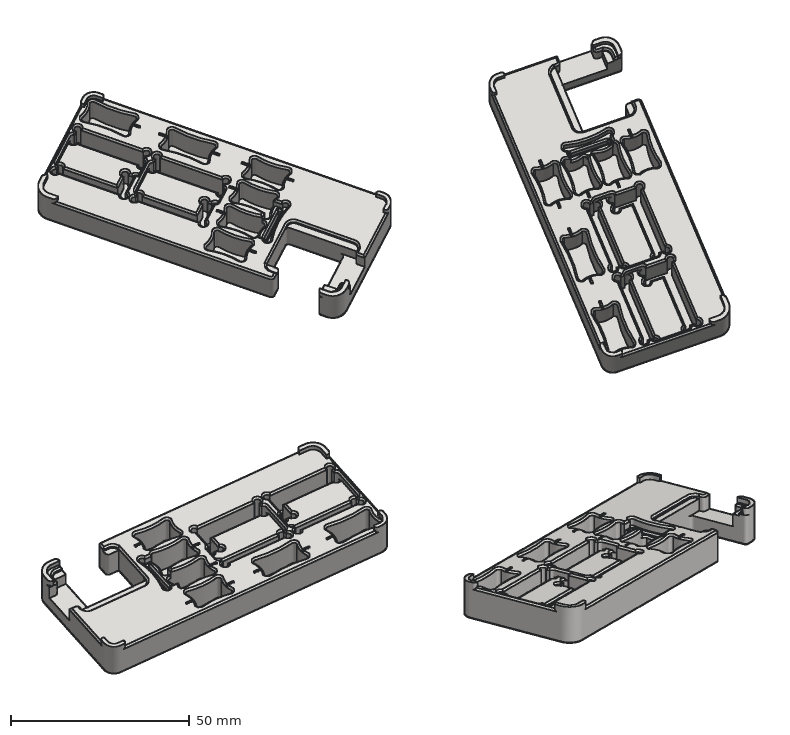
import cadquery as cq
import math

LENGTH = 93.8
WIDTH = 38.6
HEIGHT = 11.2
DECK_Z = 9.7
EDGE_BREAK = 0.6
BOTTOM_BREAK = 0.4
FLOOR_Z = 1.1
SOUTH_RADIUS = 4.2
NORTH_RADIUS = 3.4
CLEARANCE = 0.9

SOUTH_LIP_LEG = 6.9
SOUTH_LIP_THICKNESS = 1.4
SOUTH_LIP_END_RADIUS = 1.1
NORTH_LIP_LEG = 5.3
NORTH_LIP_THICKNESS = 1.2
NORTH_LIP_END_RADIUS = 0.75

OPENING_LEFT = 69.3
OPENING_RIGHT = LENGTH - SOUTH_LIP_LEG
OPENING_BACK = 18.8
OPENING_CORNER_RADIUS = 0.9
MOUTH_LEFT = 73.2
MOUTH_BACK = 4.7
MOUTH_CORNER_RADIUS = 1.0
ARM_Z = 4.8
ARM_GAP_BACK = 17.2
ARM_CORNER_RADIUS = 0.8
LEDGE_Z = 8.5
LEDGE_RIGHT = 90.9
LEDGE_FRONT = 2.7
LEDGE_BACK = 20.8
LEDGE_CORNER_RADIUS = 2.1

POCKET_PITCH_X = 24.2
POCKET_HALF_Y = 3.7
POCKET_CORNER_RADIUS = 0.9
POCKET_WAIST = 0.6
WIDE_HALF_X = 7.1
WIDE_X = 9.1
BACK_ROW_Y = 32.79
COLUMN_HALF_X = 5.8
COLUMN_X = 57.2
COLUMN_PITCH_Y = 8.9
COLUMN_COUNT = 4

MARK_REACH = 2.1
MARK_WIDTH = 0.6
MARK_DEPTH = 0.4
MARK_OFFSET_Y = 0.6

SHELF_Z = 7.5
RELIEF_RADIUS = 0.9
MODULE_LEFT = 2.3
MODULE_RIGHT = 23.4
MODULE_FRONT = 10.1
MODULE_BACK = 26.1
SLOT_DEPTH_Y = 3.2
LEG_LEFT = 20.1
LEG_BACK = 18.5
MODULE_COUNT = 2

CHANNEL_Z = 7.1
CHANNEL_LEFT = 61.9
CHANNEL_RIGHT = 67.2
CHANNEL_WAIST = 0.8
CHANNEL_FRONT = 12.1
CHANNEL_BACK = 25.0
CHANNEL_RELIEF_RADIUS = 0.89
THROUGH_LEFT = 64.45
THROUGH_RIGHT = 65.3
THROUGH_FRONT = 12.9
THROUGH_BACK = 24.0


def level(z):
    return cq.Workplane("XY").workplane(offset=z)


def prism(outline, bottom, top, flare=0.0):
    """Extrude an outline; a flare widens its top by a 45 degree chamfer."""
    solid = outline(level(bottom)).extrude(top - bottom)
    if flare:
        solid = solid.union(outline(level(top - flare)).extrude(flare, taper=-45))
    return solid


def rectangle(left, front, right, back):
    def outline(plane):
        return plane.center((left + right) / 2, (front + back) / 2).rect(right - left, back - front)

    return outline


def disc(x, y, radius):
    return lambda plane: plane.center(x, y).circle(radius)


def wavy(x, y, half_x, half_y):
    """Rectangle with round corners and sides bowed inward."""
    r = POCKET_CORNER_RADIUS
    cx = half_x - r
    cy = half_y - r
    diagonal = r * math.sqrt(0.5)

    def outline(plane):
        return (
            plane.center(x, y)
            .moveTo(-cx, half_y)
            .threePointArc((0, half_y - POCKET_WAIST), (cx, half_y))
            .threePointArc((cx + diagonal, cy + diagonal), (half_x, cy))
            .threePointArc((half_x - POCKET_WAIST, 0), (half_x, -cy))
            .threePointArc((cx + diagonal, -cy - diagonal), (cx, -half_y))
            .threePointArc((0, -half_y + POCKET_WAIST), (-cx, -half_y))
            .threePointArc((-cx - diagonal, -cy - diagonal), (-half_x, -cy))
            .threePointArc((-half_x + POCKET_WAIST, 0), (-half_x, cy))
            .threePointArc((-cx - diagonal, cy + diagonal), (-cx, half_y))
            .close()
        )

    return outline


def joined(outlines, bottom, top, flare=0.0):
    solid = prism(outlines[0], bottom, top, flare)
    for outline in outlines[1:]:
        solid = solid.union(prism(outline, bottom, top, flare))
    return solid


def base_block():
    block = level(0).rect(LENGTH, WIDTH, centered=False).extrude(DECK_Z)
    block = block.edges("|Z and <Y").fillet(SOUTH_RADIUS)
    return block.edges("|Z and >Y").fillet(NORTH_RADIUS)


def opening():
    window = prism(rectangle(OPENING_LEFT, MOUTH_BACK, OPENING_RIGHT, OPENING_BACK), 0, DECK_Z)
    window = window.edges("|Z and >Y").fillet(OPENING_CORNER_RADIUS)
    mouth = prism(rectangle(MOUTH_LEFT, -CLEARANCE, OPENING_RIGHT, MOUTH_BACK), 0, DECK_Z)
    return window.union(mouth)


def arm_relief():
    middle = (OPENING_LEFT + OPENING_RIGHT) / 2
    inner = prism(rectangle(middle, MOUTH_BACK, LEDGE_RIGHT, OPENING_BACK), ARM_Z, DECK_Z)
    gap = rectangle(LEDGE_RIGHT, SOUTH_LIP_LEG, LENGTH + CLEARANCE, ARM_GAP_BACK)
    relief = inner.union(prism(gap, ARM_Z, DECK_Z))
    neck = cq.selectors.BoxSelector(
        (LEDGE_RIGHT - 0.1, SOUTH_LIP_LEG - 0.1, ARM_Z),
        (LEDGE_RIGHT + 0.1, ARM_GAP_BACK + 0.1, DECK_Z),
    )
    return relief.edges("|Z").edges(neck).fillet(ARM_CORNER_RADIUS)


def corner_lip(leg, thickness, outer_radius, end_radius):
    """L-shaped lip whose outer corner stands at the origin."""
    inner_radius = outer_radius - thickness
    return (
        level(DECK_Z - EDGE_BREAK)
        .moveTo(outer_radius, 0)
        .lineTo(leg - end_radius, 0)
        .radiusArc((leg, end_radius), -end_radius)
        .lineTo(leg, thickness)
        .lineTo(outer_radius, thickness)
        .radiusArc((thickness, outer_radius), inner_radius)
        .lineTo(thickness, leg)
        .lineTo(end_radius, leg)
        .radiusArc((0, leg - end_radius), -end_radius)
        .lineTo(0, outer_radius)
        .radiusArc((outer_radius, 0), -outer_radius)
        .close()
        .extrude(HEIGHT - DECK_Z + EDGE_BREAK)
    )


def corner_lips():
    south_west = corner_lip(SOUTH_LIP_LEG, SOUTH_LIP_THICKNESS, SOUTH_RADIUS, SOUTH_LIP_END_RADIUS)
    north = corner_lip(NORTH_LIP_LEG, NORTH_LIP_THICKNESS, NORTH_RADIUS, NORTH_LIP_END_RADIUS)
    north_west = north.mirror("XZ").translate((0, WIDTH, 0))
    west = south_west.union(north_west)
    return west.union(west.mirror("YZ").translate((LENGTH, 0, 0)))


def ledge_recess():
    def outline(plane):
        sketch = (
            cq.Sketch()
            .rect(LEDGE_RIGHT - OPENING_LEFT, LEDGE_BACK - LEDGE_FRONT)
            .vertices()
            .fillet(LEDGE_CORNER_RADIUS)
        )
        x = (OPENING_LEFT + LEDGE_RIGHT) / 2
        return plane.center(x, (LEDGE_FRONT + LEDGE_BACK) / 2).placeSketch(sketch)

    return prism(outline, LEDGE_Z, DECK_Z, EDGE_BREAK)


def module_pocket():
    slot_front = MODULE_BACK - SLOT_DEPTH_Y
    leg_front = MODULE_FRONT + SLOT_DEPTH_Y
    relief_centers = [
        (MODULE_LEFT, MODULE_BACK),
        (MODULE_RIGHT, MODULE_BACK),
        (MODULE_LEFT, slot_front),
        (MODULE_RIGHT, slot_front),
        (MODULE_LEFT, MODULE_FRONT),
        (MODULE_RIGHT, MODULE_FRONT),
        (MODULE_LEFT, leg_front),
        (LEG_LEFT, LEG_BACK),
        (MODULE_RIGHT, LEG_BACK),
    ]
    deep = [
        rectangle(MODULE_LEFT, slot_front, MODULE_RIGHT, MODULE_BACK),
        rectangle(MODULE_LEFT, MODULE_FRONT, MODULE_RIGHT, leg_front),
        rectangle(LEG_LEFT, MODULE_FRONT, MODULE_RIGHT, LEG_BACK),
    ]
    deep += [disc(x, y, RELIEF_RADIUS) for x, y in relief_centers]
    shelf_left = MODULE_LEFT - RELIEF_RADIUS
    shelf_right = MODULE_RIGHT + RELIEF_RADIUS
    shelf = [
        rectangle(shelf_left, leg_front, LEG_LEFT, slot_front),
        rectangle(shelf_left, LEG_BACK, shelf_right, slot_front),
    ]
    upper = joined(deep + shelf, SHELF_Z, DECK_Z, EDGE_BREAK)
    walls = joined(deep + shelf, FLOOR_Z, SHELF_Z)
    lower = joined(deep, FLOOR_Z, SHELF_Z, EDGE_BREAK).intersect(walls)
    return upper.union(lower)


def channel_outlines():
    relief_x = CHANNEL_RIGHT - CHANNEL_RELIEF_RADIUS
    middle_y = (CHANNEL_FRONT + CHANNEL_BACK) / 2

    def bowed(plane):
        return (
            plane.moveTo(CHANNEL_LEFT, CHANNEL_FRONT)
            .lineTo(CHANNEL_RIGHT, CHANNEL_FRONT)
            .threePointArc((CHANNEL_RIGHT - CHANNEL_WAIST, middle_y), (CHANNEL_RIGHT, CHANNEL_BACK))
            .lineTo(CHANNEL_LEFT, CHANNEL_BACK)
            .close()
        )

    reliefs = [disc(relief_x, y, CHANNEL_RELIEF_RADIUS) for y in (CHANNEL_FRONT, CHANNEL_BACK)]
    return [bowed] + reliefs


def mark(x, y, half_x, side):
    """Shallow groove from a pocket's side outward; side is -1 for left, 1 for right."""
    start = x + side * (half_x - POCKET_WAIST)
    end = x + side * (half_x + MARK_REACH)
    front = y + MARK_OFFSET_Y - MARK_WIDTH / 2
    groove = rectangle(min(start, end), front, max(start, end), front + MARK_WIDTH)
    return prism(groove, DECK_Z - MARK_DEPTH, DECK_Z)


tray = base_block().cut(opening())
for mouth_x, mouth_y in ((MOUTH_LEFT, 0), (MOUTH_LEFT, MOUTH_BACK), (OPENING_RIGHT, 0)):
    corner = cq.selectors.BoxSelector(
        (mouth_x - 0.1, mouth_y - 0.1, 0), (mouth_x + 0.1, mouth_y + 0.1, DECK_Z)
    )
    tray = tray.edges("|Z").edges(corner).fillet(MOUTH_CORNER_RADIUS)
tray = tray.cut(arm_relief())
tray = tray.faces("<Z").chamfer(BOTTOM_BREAK)
tray = tray.faces(">Z").chamfer(EDGE_BREAK)

tray = tray.cut(ledge_recess())
tray = tray.union(corner_lips())

for i in range(MODULE_COUNT):
    tray = tray.cut(module_pocket().translate((i * POCKET_PITCH_X, 0, 0)))

wide_spots = [(WIDE_X + i * POCKET_PITCH_X, BACK_ROW_Y, WIDE_HALF_X) for i in range(MODULE_COUNT)]
column_spots = [(COLUMN_X, BACK_ROW_Y - i * COLUMN_PITCH_Y, COLUMN_HALF_X) for i in range(COLUMN_COUNT)]
channel_space = joined(channel_outlines(), FLOOR_Z, CHANNEL_Z)
tray = tray.cut(joined(channel_outlines(), CHANNEL_Z, DECK_Z, EDGE_BREAK))
for x, y, half_x in wide_spots + column_spots:
    shape = wavy(x, y, half_x, POCKET_HALF_Y)
    tray = tray.cut(prism(shape, FLOOR_Z, DECK_Z, EDGE_BREAK))
    if half_x == COLUMN_HALF_X:
        rim = prism(shape, FLOOR_Z, CHANNEL_Z, EDGE_BREAK)
        tray = tray.cut(rim.intersect(channel_space))

through = rectangle(THROUGH_LEFT, THROUGH_FRONT, THROUGH_RIGHT, THROUGH_BACK)
tray = tray.cut(prism(through, 0, CHANNEL_Z, EDGE_BREAK))

mark_sides = [(1,), (-1, 1), (-1, 1), (-1,), (-1,), (1,)]
for (x, y, half_x), sides in zip(wide_spots + column_spots, mark_sides):
    for side in sides:
        tray = tray.cut(mark(x, y, half_x, side))

result = tray